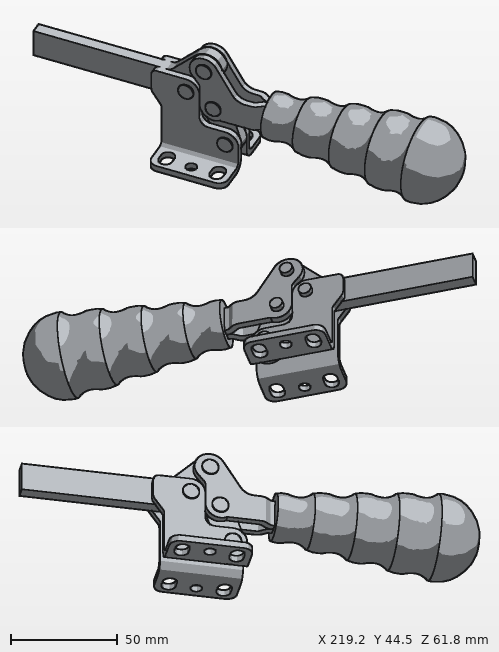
import cadquery as cq
import math

total_length = 219.2
total_width = 44.5
total_height = 61.8

bar_thickness = 6.0
sheet = 3.3
inner_y = bar_thickness / 2
outer_y = inner_y + sheet

bar_bottom = 31.8
bar_height = 14.5
bar_top = bar_bottom + bar_height
bar_boss_radius = 8.0
bar_neck_fillet = 5.3
arm_tangent = 135
link_radius = 7.0

bar_handle_pivot = (89.5, total_height - bar_boss_radius)
bar_base_pivot = (80.2, bar_bottom + bar_height / 2)
handle_link_pivot = (94.3, 33.3)
link_base_pivot = (100.5, 14.0)
pivots = [bar_handle_pivot, bar_base_pivot, handle_link_pivot, link_base_pivot]

rivet_head_radius = 4.0
rivet_head_height = 0.7
rivet_stem_radius = 3.0
rivet_stem_height = 2.6

base_left = 67.5
base_length = 39.7
base_right = base_left + base_length
base_middle = base_left + base_length / 2
base_bend_radius = 2.6
base_bend_top = base_bend_radius + sheet
base_nose_x = 62.3
base_nose_bottom = 33.8
base_slant_bottom = 26.3
base_nose_fillet = 2.8
base_slant_fillet = 3.3
base_lug_radius = 6.8
base_step_x = bar_base_pivot[0] + base_lug_radius
base_step_z = 21.3
base_step_fillet = 4.8
flange_corner_radius = 4.8
slot_spacing = 26.3
slot_width = 6.8
slot_length = 9.6
slot_y = 15.0
pilot_hole_diameter = 5.5
pilot_hole_y = 16.0

handle_boss_radius = 7.5
handle_heel_radius = 7.0
handle_bottom = 27.2
handle_top = 41.0
handle_mid = (handle_bottom + handle_top) / 2
handle_left_tangent = 220
handle_right_tangent = 32
handle_throat_fillet = 7.5
handle_waist_fillet = 3.3
flat_end = 111.0
joggle_start = 114.2
joggle_angle = 36
joggle_radius = 3.0
handle_end = 131.5

grip_start = 121.0
grip_tilt = 0.8
grip_length = (total_length - grip_start) / math.cos(math.radians(grip_tilt))
grip_front_radius = 11.5
ridge_count = 4
ridge_pitch = 19.7
ridge_growth = 2.5
crest_offset = 3.3
crest_radius = 11.8
ridge_end_offset = 5.5
ridge_end_radius = 11.6
groove_offset = 10.7
groove_radius = 10.7
next_ridge_offset = 17.3
next_ridge_radius = 13.4
ball_crest_offset = 78.3
ball_crest_radius = 20.8
ball_shoulder_offset = 91.6
ball_shoulder_radius = 15.5


def rounded_outline(plane, corners):
    """Closed wire through (u, v, fillet radius) corners; radius 0 keeps a corner sharp."""
    path = None
    for i, (u, v, radius) in enumerate(corners):
        corner = cq.Vector(u, v)
        before = (cq.Vector(*corners[i - 1][:2]) - corner).normalized()
        after = (cq.Vector(*corners[(i + 1) % len(corners)][:2]) - corner).normalized()
        half_angle = before.getAngle(after) / 2
        setback = radius / math.tan(half_angle)
        entry = corner + before * setback
        path = path.lineTo(entry.x, entry.y) if path else plane.moveTo(entry.x, entry.y)
        if radius:
            bisector = (before + after).normalized()
            middle = corner + bisector * (radius / math.sin(half_angle) - radius)
            leave = corner + after * setback
            path = path.threePointArc((middle.x, middle.y), (leave.x, leave.y))
    return path.close()


def plane_xz(y):
    """Sketch plane facing -Y at the given Y; negative extrusion goes toward +Y."""
    return cq.Workplane("XZ", origin=(0, y, 0))


def disc(center, radius, y_min, y_max):
    return plane_xz(y_min).center(*center).circle(radius).extrude(y_min - y_max)


def on_circle(center, radius, degrees):
    angle = math.radians(degrees)
    return center[0] + radius * math.cos(angle), center[1] + radius * math.sin(angle)


def strap(start, start_radius, end, end_radius):
    """Round-ended bar-thick strap whose sides are tangent to both end circles."""
    run = (end[0] - start[0], end[1] - start[1])
    heading = math.degrees(math.atan2(run[1], run[0]))
    side = math.degrees(math.acos((start_radius - end_radius) / math.hypot(*run)))
    points = [
        on_circle(start, start_radius, heading + side),
        on_circle(end, end_radius, heading + side),
        on_circle(end, end_radius, heading - side),
        on_circle(start, start_radius, heading - side),
    ]
    body = plane_xz(-inner_y).polyline(points).close().extrude(-bar_thickness)
    for center, radius in ((start, start_radius), (end, end_radius)):
        body = body.union(disc(center, radius, -inner_y, inner_y))
    return body


def both_sides(body):
    return body.union(body.mirror("XZ"))


def clamp_bar():
    tangent = on_circle(bar_handle_pivot, bar_boss_radius, arm_tangent)
    neck_x = tangent[0] + (tangent[1] - bar_top) * math.tan(math.radians(arm_tangent))
    corners = [
        (0, bar_bottom, 0),
        (bar_base_pivot[0], bar_bottom, 0),
        (*bar_base_pivot, 0),
        (*bar_handle_pivot, 0),
        (*tangent, 0),
        (neck_x, bar_top, bar_neck_fillet),
        (0, bar_top, 0),
    ]
    body = rounded_outline(plane_xz(-inner_y), corners).extrude(-bar_thickness)
    arm = strap(bar_base_pivot, bar_height / 2, bar_handle_pivot, bar_boss_radius)
    return body.union(arm)


def base_half():
    """+Y half of the bracket: an upright plate bent outward into a drilled flange."""
    corners = [
        (base_left, base_bend_top, 0),
        (base_left, base_slant_bottom, base_slant_fillet),
        (base_nose_x, base_nose_bottom, base_slant_fillet),
        (base_nose_x, bar_top, base_nose_fillet),
        (base_step_x, bar_top, base_lug_radius),
        (base_step_x, base_step_z, base_step_fillet),
        (base_right, base_step_z, base_lug_radius),
        (base_right, base_bend_top, 0),
    ]
    upright = rounded_outline(plane_xz(inner_y), corners).extrude(-sheet)

    flange_end = total_width / 2
    bend = [
        (inner_y, base_bend_top + sheet, 0),
        (inner_y, 0, base_bend_top),
        (flange_end, 0, 0),
        (flange_end, sheet, 0),
        (outer_y, sheet, base_bend_radius),
        (outer_y, base_bend_top + sheet, 0),
    ]
    bend_plane = cq.Workplane("YZ", origin=(base_left, 0, 0))
    flange = rounded_outline(bend_plane, bend).extrude(base_length)
    flange = flange.edges("|Z and >Y").fillet(flange_corner_radius)

    slot_centers = [(base_middle + side * slot_spacing / 2, slot_y) for side in (-1, 1)]
    slots = cq.Workplane("XY").pushPoints(slot_centers).slot2D(slot_length, slot_width, 90)
    pilot = cq.Workplane("XY").center(base_middle, pilot_hole_y).circle(pilot_hole_diameter / 2)
    return upright.union(flange.cut(slots.extrude(sheet)).cut(pilot.extrude(sheet)))


def handle_half():
    """+Y handle plate, joggled inward so that the two plates meet inside the grip."""
    left_tangent = on_circle(bar_handle_pivot, handle_boss_radius, handle_left_tangent)
    right_tangent = on_circle(bar_handle_pivot, handle_boss_radius, handle_right_tangent)
    heel_x = handle_link_pivot[0] - handle_heel_radius
    left_slope = math.tan(math.radians(handle_left_tangent - 90))
    waist_z = left_tangent[1] + (heel_x - left_tangent[0]) * left_slope
    throat_drop = right_tangent[1] - handle_top
    throat_x = right_tangent[0] + throat_drop * math.tan(math.radians(handle_right_tangent))
    corners = [
        (*bar_handle_pivot, 0),
        (*right_tangent, 0),
        (throat_x, handle_top, handle_throat_fillet),
        (flat_end, handle_top, 0),
        (flat_end, handle_bottom, 0),
        (handle_link_pivot[0], handle_bottom, 0),
        (*handle_link_pivot, 0),
        (heel_x, handle_link_pivot[1], 0),
        (heel_x, waist_z, handle_waist_fillet),
        (*left_tangent, 0),
    ]
    plate = rounded_outline(plane_xz(inner_y), corners).extrude(-sheet)
    plate = plate.union(disc(bar_handle_pivot, handle_boss_radius, inner_y, outer_y))
    plate = plate.union(disc(handle_link_pivot, handle_heel_radius, inner_y, outer_y))

    joggle_end = joggle_start + inner_y / math.tan(math.radians(joggle_angle))
    miter = sheet * math.tan(math.radians(joggle_angle / 2))
    joggle = [
        (flat_end, inner_y, 0),
        (joggle_start, inner_y, joggle_radius),
        (joggle_end, 0, joggle_radius + sheet),
        (handle_end, 0, 0),
        (handle_end, sheet, 0),
        (joggle_end + miter, sheet, joggle_radius),
        (joggle_start + miter, outer_y, joggle_radius + sheet),
        (flat_end, outer_y, 0),
    ]
    joggle_plane = cq.Workplane("XY", origin=(0, 0, handle_bottom))
    tang = rounded_outline(joggle_plane, joggle).extrude(handle_top - handle_bottom)
    return plate.union(tang)


def groove_arc_point(ridge_edge, groove):
    """Middle of an arc from a ridge edge that runs level, along the axis, at the groove bottom."""
    run = ridge_edge[0] - groove[0]
    rise = ridge_edge[1] - groove[1]
    radius = (run ** 2 + rise ** 2) / (2 * rise)
    half_sweep = math.atan2(rise, abs(run))
    middle_run = math.copysign(radius * math.sin(half_sweep), run)
    return groove[0] + middle_run, groove[1] + radius * (1 - math.cos(half_sweep))


def grip():
    """Ridged grip with a ball end, revolved about X and then tilted slightly downward."""
    profile = cq.Workplane("XZ").moveTo(0, 0).lineTo(0, grip_front_radius)
    for ridge in range(ridge_count):
        along = ridge * ridge_pitch
        growth = ridge * ridge_growth
        ridge_end = (ridge_end_offset + along, ridge_end_radius + growth)
        crest = (crest_offset + along, crest_radius + growth)
        profile = profile.threePointArc(crest, ridge_end)
        groove = (groove_offset + along, groove_radius + growth)
        next_ridge = (next_ridge_offset + along, next_ridge_radius + growth)
        profile = profile.threePointArc(groove_arc_point(ridge_end, groove), groove)
        profile = profile.threePointArc(groove_arc_point(next_ridge, groove), next_ridge)

    profile = profile.lineTo(ball_crest_offset, ball_crest_radius)
    ball_curve = [(ball_shoulder_offset, ball_shoulder_radius), (grip_length, 0)]
    profile = profile.spline(ball_curve, tangents=[(1, 0), (0, -1)], includeCurrent=True).close()
    body = profile.revolve(360, (0, 0, 0), (1, 0, 0))
    return body.rotate((0, 0, 0), (0, 1, 0), grip_tilt).translate((grip_start, 0, handle_mid))


def rivet(pivot):
    head_y = -outer_y - rivet_head_height
    head = disc(pivot, rivet_head_radius, head_y, -outer_y)
    return head.union(disc(pivot, rivet_stem_radius, head_y, outer_y + rivet_stem_height))


result = clamp_bar()
result = result.union(strap(handle_link_pivot, link_radius, link_base_pivot, link_radius))
result = result.union(both_sides(base_half()))
result = result.union(both_sides(handle_half()))
result = result.union(grip())
for pivot in pivots:
    result = result.union(rivet(pivot))